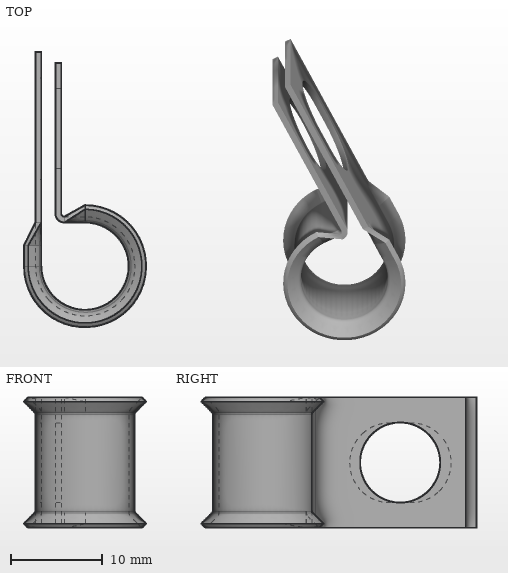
import cadquery as cq
import math

height = 14.27
sheet = 0.65
wall_outer = 5.42
rim_radius = 6.68
flare_bend = 0.25
flare_angle = math.radians(45)

long_leg_end = 23.42
short_leg_end = 22.2
short_leg_x = -3.25
corner_inner = 0.33
rim_straight = 2.25
long_transition = 2.55

hole_y = 15.05
hole_diameter = 8.73
slot_length = 11.08

bore = wall_outer - sheet
half_height = height / 2
long_leg_start = rim_straight + long_transition
corner_outer = corner_inner + sheet
corner_x = short_leg_x + corner_outer
corner_y = bore + corner_outer

sin_flare = math.sin(flare_angle)
cos_flare = math.cos(flare_angle)
bend_centre = wall_outer + flare_bend
inner_bend = flare_bend + sheet
rim_inner_radius = rim_radius - sheet * cos_flare
rim_edge_z = half_height - sheet * sin_flare
flare_start_r = bend_centre - flare_bend * cos_flare
flare_base_z = (
    rim_edge_z
    - (rim_radius - flare_start_r) / math.tan(flare_angle)
    - flare_bend * sin_flare
)
flare_height = half_height - flare_base_z


def bend_point(radius, angle):
    """Point (r, z) on a flare bend arc, after turning through the angle."""
    return (
        bend_centre - radius * math.cos(angle),
        flare_base_z + radius * math.sin(angle),
    )


def flare_section(plane):
    """Closed flare section; local x is radial and local y is Z."""
    return (
        cq.Workplane(plane)
        .moveTo(bore, flare_base_z)
        .threePointArc(bend_point(inner_bend, flare_angle / 2), bend_point(inner_bend, flare_angle))
        .lineTo(rim_inner_radius, half_height)
        .lineTo(rim_radius, rim_edge_z)
        .lineTo(*bend_point(flare_bend, flare_angle))
        .threePointArc(bend_point(flare_bend, flare_angle / 2), (wall_outer, flare_base_z))
        .close()
    )


def flat_section(plane):
    """Unflared sheet section, with a point to match each corner of the flare."""
    return (
        cq.Workplane(plane)
        .moveTo(bore, flare_base_z)
        .lineTo(bore, bend_point(inner_bend, flare_angle)[1])
        .lineTo(bore, half_height)
        .lineTo(wall_outer, half_height)
        .lineTo(wall_outer, bend_point(flare_bend, flare_angle)[1])
        .lineTo(wall_outer, flare_base_z)
        .close()
    )


def transition(flared_plane, flat_plane):
    """Ruled blend between the flared rim and flat sheet."""
    flared = flare_section(flared_plane).wire().val()
    flat = flat_section(flat_plane).wire().val()
    return cq.Workplane(cq.Solid.makeLoft([flared, flat], True))


def long_side_plane(y):
    """Section plane across the long leg, with its radial direction along -X."""
    return cq.Plane(origin=(0, y, 0), xDir=(-1, 0, 0), normal=(0, 1, 0))


def short_side_plane(x):
    """Section plane across the end of the loop, with its radial direction along +Y."""
    return cq.Plane(origin=(x, 0, 0), xDir=(0, 1, 0), normal=(1, 0, 0))


def upper_rim():
    """Flared rim around three quarters of the loop, faded out at both ends."""
    turned = flare_section(long_side_plane(0)).revolve(270, (0, 0, 0), (0, 1, 0))
    straight = flare_section(long_side_plane(0)).extrude(rim_straight)
    long_fade = transition(long_side_plane(rim_straight), long_side_plane(long_leg_start))
    short_fade = transition(short_side_plane(0), short_side_plane(corner_x))
    return turned.union(straight).union(long_fade).union(short_fade)


def loop_wall():
    """Wall between the rims, with its straight runs toward both legs."""
    diagonal = math.sqrt(0.5)
    return (
        cq.Workplane("XY", origin=(0, 0, -flare_base_z))
        .moveTo(-wall_outer, long_leg_start)
        .lineTo(-wall_outer, 0)
        .threePointArc((wall_outer * diagonal, -wall_outer * diagonal), (0, wall_outer))
        .lineTo(corner_x, wall_outer)
        .lineTo(corner_x, bore)
        .lineTo(0, bore)
        .threePointArc((bore * diagonal, -bore * diagonal), (-bore, 0))
        .lineTo(-bore, long_leg_start)
        .close()
        .extrude(2 * flare_base_z)
    )


def long_leg():
    """Flat leg with a slot elongated along Y."""
    leg = cq.Workplane("XY").box(
        sheet, long_leg_end - long_leg_start, height, centered=(False, False, True)
    ).translate((-wall_outer, long_leg_start, 0))
    slot = (
        cq.Workplane("YZ", origin=(-wall_outer, hole_y, 0))
        .slot2D(slot_length, hole_diameter)
        .extrude(sheet)
    )
    return leg.cut(slot)


def short_leg():
    """Flat leg with a round hole, bent at its base to meet the loop."""
    diagonal = math.sqrt(0.5)
    leg = (
        cq.Workplane("XY", origin=(0, 0, -half_height))
        .moveTo(corner_x, bore)
        .threePointArc(
            (corner_x - corner_outer * diagonal, corner_y - corner_outer * diagonal),
            (short_leg_x, corner_y),
        )
        .lineTo(short_leg_x, short_leg_end)
        .lineTo(short_leg_x + sheet, short_leg_end)
        .lineTo(short_leg_x + sheet, corner_y)
        .threePointArc(
            (corner_x - corner_inner * diagonal, corner_y - corner_inner * diagonal),
            (corner_x, wall_outer),
        )
        .close()
        .extrude(height)
    )
    hole = (
        cq.Workplane("YZ", origin=(short_leg_x, hole_y, 0))
        .circle(hole_diameter / 2)
        .extrude(sheet)
    )
    return leg.cut(hole)


rim = upper_rim()
result = (
    loop_wall()
    .union(long_leg())
    .union(short_leg())
    .union(rim)
    .union(rim.mirror("XY"))
)